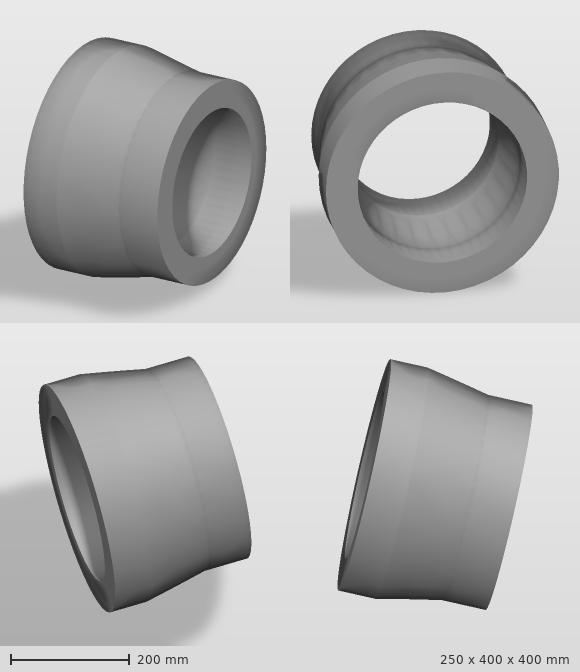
import cadquery as cq

total_length = 250.0
large_length = 65.0
small_length = 75.0

large_outer_diameter = 400.0
large_bore_diameter = 290.6
small_outer_diameter = 355.0
small_bore_diameter = 258.0

taper_end = total_length - small_length


def reducer_solid(large_diameter, small_diameter):
    """Solid of revolution about X: large cylinder, cone, small cylinder."""
    large_radius = large_diameter / 2
    small_radius = small_diameter / 2
    return (
        cq.Workplane("XY")
        .moveTo(0, 0)
        .lineTo(0, large_radius)
        .lineTo(large_length, large_radius)
        .lineTo(taper_end, small_radius)
        .lineTo(total_length, small_radius)
        .lineTo(total_length, 0)
        .close()
        .revolve(360, (0, 0, 0), (1, 0, 0))
    )


body = reducer_solid(large_outer_diameter, small_outer_diameter)
bore = reducer_solid(large_bore_diameter, small_bore_diameter)

result = body.cut(bore)